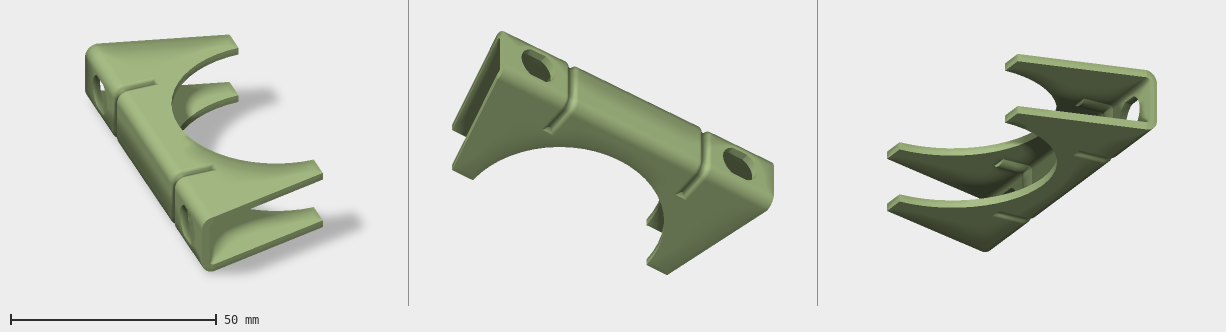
import cadquery as cq
import math

length = 79.0
depth = 34.5
height = 16.0
thickness = 2.0
inner_bend_radius = 1.0
bend_radius = inner_bend_radius + thickness
bend_z = height / 2 - bend_radius

flange_tip_half_length = 31.5
saddle_radius = 25.4

hole_spacing = 59.1
hole_diameter = 9.9
hole_flat_height = 8.9

bead_spacing = 39.0
bead_depth = 0.95
bead_end = 11.0
ridge_end = bead_end - bead_depth
edge_radius = 1.2
ridge_radius = bead_depth + thickness


def channel():
    """U-shaped channel bent from sheet."""
    outer = (
        cq.Workplane("XY").box(length, depth, height, centered=(True, False, True))
        .edges("|X and <Y").fillet(bend_radius)
    )
    inner = (
        cq.Workplane("XY", origin=(0, thickness, 0))
        .box(length, depth, height - 2 * thickness, centered=(True, False, True))
        .edges("|X and <Y").fillet(inner_bend_radius)
    )
    return outer.cut(inner)


def flange_outline():
    """Tapered outline with a semicircular saddle open at the flange tips."""
    half_length = length / 2
    return (
        cq.Workplane("XY", origin=(0, 0, -height / 2))
        .moveTo(-half_length, 0)
        .lineTo(half_length, 0)
        .lineTo(half_length, bend_radius)
        .lineTo(flange_tip_half_length, depth)
        .lineTo(saddle_radius, depth)
        .threePointArc((0, depth - saddle_radius), (-saddle_radius, depth))
        .lineTo(-flange_tip_half_length, depth)
        .lineTo(-half_length, bend_radius)
        .close()
        .extrude(height)
    )


def mounting_hole(x):
    round_hole = (
        cq.Workplane("XZ", origin=(x, 0, 0)).circle(hole_diameter / 2).extrude(-bend_radius)
    )
    flats = cq.Workplane("XY", origin=(x, 0, 0)).box(
        hole_diameter, 2 * bend_radius, hole_flat_height
    )
    return round_hole.intersect(flats)


def groove_profile(plane):
    """Round-bottomed groove with rounded edges; local y = 0 is the outer sheet face."""
    angle = math.acos(edge_radius / (bead_depth + edge_radius))
    half_width = (bead_depth + edge_radius) * math.sin(angle)
    blend_x = bead_depth * math.sin(angle)
    blend_y = -bead_depth * math.cos(angle)
    edge_x = half_width - edge_radius * math.sin(angle / 2)
    edge_y = -edge_radius * (1 - math.cos(angle / 2))
    return (
        plane.moveTo(-half_width, 0)
        .threePointArc((-edge_x, edge_y), (-blend_x, blend_y))
        .threePointArc((0, -bead_depth), (blend_x, blend_y))
        .threePointArc((edge_x, edge_y), (half_width, 0))
        .close()
    )


def ridge_profile(plane):
    """Rounded ridge on the inner sheet face, concentric with the groove bottom."""
    half_width = math.sqrt(ridge_radius**2 - thickness**2)
    return (
        plane.moveTo(-half_width, -thickness)
        .threePointArc((0, -ridge_radius), (half_width, -thickness))
        .close()
    )


def wrapped_bead(profile, x, end):
    """Carry a bead profile along both flanges, around the bends and across the web."""
    flange_plane = cq.Plane(
        origin=(x, bend_radius, height / 2), xDir=(-1, 0, 0), normal=(0, 1, 0)
    )
    web_plane = cq.Plane(origin=(x, 0, 0), xDir=(-1, 0, 0), normal=(0, 0, 1))
    upper = profile(cq.Workplane(flange_plane)).extrude(end - bend_radius)
    bend = profile(cq.Workplane(flange_plane)).revolve(
        90, (0, -bend_radius, 0), (-1, -bend_radius, 0)
    )
    web = profile(cq.Workplane(web_plane)).extrude(bend_z, both=True)
    return [upper, bend, upper.mirror("XY"), bend.mirror("XY"), web]


def groove_end_limit():
    """Side outline whose far ends slope at 45 degrees toward the groove bottom."""
    top = height / 2
    floor = top - bead_depth
    return (
        cq.Workplane("YZ", origin=(-length / 2, 0, 0))
        .polyline([
            (0, -top), (bead_end, -top), (ridge_end, -floor),
            (ridge_end, floor), (bead_end, top), (0, top),
        ])
        .close()
        .extrude(length)
    )


result = channel().intersect(flange_outline())

for side in (-1, 1):
    result = result.cut(mounting_hole(side * hole_spacing / 2))
    bead_x = side * bead_spacing / 2
    for ridge in wrapped_bead(ridge_profile, bead_x, ridge_end):
        result = result.union(ridge)
    for groove in wrapped_bead(groove_profile, bead_x, bead_end):
        result = result.cut(groove.intersect(groove_end_limit()))